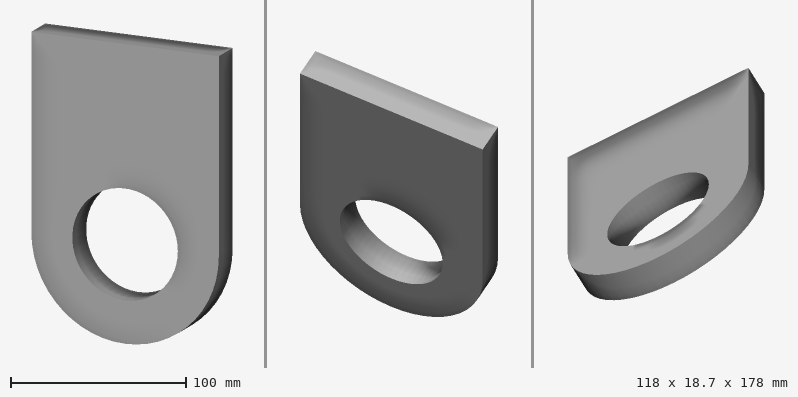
import cadquery as cq

height = 178.0
width = 118.0
thickness = 18.7
hole_diameter = 66.4

end_radius = width / 2
top_z = height - end_radius

plate = (
    cq.Workplane("XZ")
    .moveTo(-end_radius, 0)
    .lineTo(-end_radius, top_z)
    .lineTo(end_radius, top_z)
    .lineTo(end_radius, 0)
    .threePointArc((0, -end_radius), (-end_radius, 0))
    .close()
    .extrude(thickness)
)

hole = cq.Workplane("XZ").circle(hole_diameter / 2).extrude(thickness)

result = plate.cut(hole)